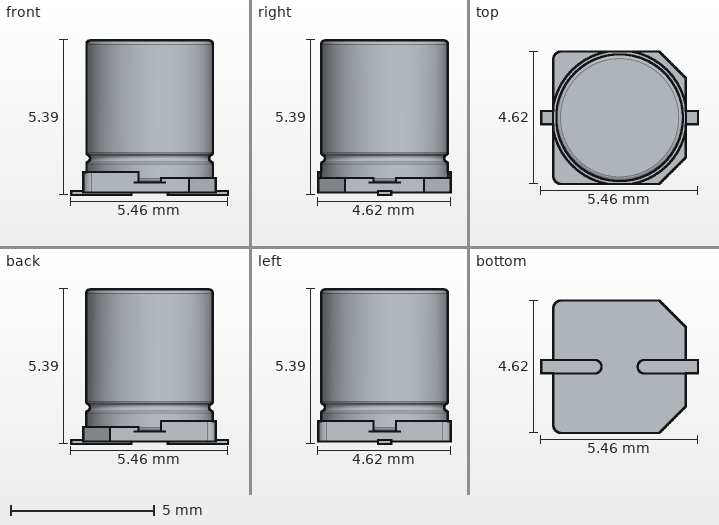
import cadquery as cq

overall_length = 5.46
overall_height = 5.39
base_width = 4.62

base_bottom = 0.09
base_high_top = 0.8
base_low_top = 0.6
corner_radius = 0.29
corner_chamfer = 0.935

seat_floor = 0.44
seat_radius = 2.34

can_radius = 4.41 / 2
can_edge_radius = 0.15

groove_center_z = 1.285
groove_radius = 0.13
groove_depth = 0.13
shoulder_radius = 0.09

lead_width = 0.47
lead_thickness = 0.155
lead_inner_end = 0.63


def make_base():
    low_height = base_low_top - base_bottom
    high_height = base_high_top - base_bottom
    base = cq.Workplane("XY").box(base_width, base_width, high_height, centered=(True, True, False))
    base = base.edges("|Z and <X").fillet(corner_radius)
    base = base.edges("|Z and >X").chamfer(corner_chamfer)
    step = (
        cq.Workplane("XY", origin=(base_width / 4, 0, low_height))
        .box(base_width / 2, base_width, high_height - low_height, centered=(True, True, False))
    )
    base = base.cut(step).translate((0, 0, base_bottom))
    seat = cq.Workplane("XY", origin=(0, 0, seat_floor)).circle(seat_radius).extrude(base_high_top - seat_floor)
    return base.cut(seat)


def make_can():
    can = cq.Workplane("XY", origin=(0, 0, seat_floor)).circle(can_radius).extrude(overall_height - seat_floor)
    can = can.edges().fillet(can_edge_radius)

    valley_x = can_radius - groove_depth + groove_radius
    shoulder_x = can_radius - shoulder_radius
    center_distance = groove_radius + shoulder_radius
    shoulder_rise = (center_distance**2 - (valley_x - shoulder_x) ** 2) ** 0.5
    share = groove_radius / center_distance
    touch_x = valley_x + share * (shoulder_x - valley_x)
    touch_rise = share * shoulder_rise

    chord_x = (touch_x + can_radius) / 2 - shoulder_x
    chord_z = (touch_rise - shoulder_rise) / 2
    stretch = shoulder_radius / (chord_x**2 + chord_z**2) ** 0.5
    mid_x = shoulder_x + stretch * chord_x
    mid_rise = shoulder_rise + stretch * chord_z

    groove = (
        cq.Workplane("XZ")
        .moveTo(can_radius, groove_center_z - shoulder_rise)
        .threePointArc((mid_x, groove_center_z - mid_rise), (touch_x, groove_center_z - touch_rise))
        .threePointArc((can_radius - groove_depth, groove_center_z), (touch_x, groove_center_z + touch_rise))
        .threePointArc((mid_x, groove_center_z + mid_rise), (can_radius, groove_center_z + shoulder_rise))
        .close()
        .revolve(360, (0, 0, 0), (0, 1, 0))
    )
    return can.cut(groove)


def make_lead(side):
    """Flat lead with a square outer end and a full-round inner end; side is -1 or 1."""
    half_width = lead_width / 2
    outer_x = side * overall_length / 2
    round_start_x = side * (lead_inner_end + half_width)
    return (
        cq.Workplane("XY")
        .moveTo(outer_x, -half_width)
        .lineTo(round_start_x, -half_width)
        .threePointArc((side * lead_inner_end, 0), (round_start_x, half_width))
        .lineTo(outer_x, half_width)
        .close()
        .extrude(lead_thickness)
    )


result = make_base().union(make_can())
for lead_side in (-1, 1):
    result = result.union(make_lead(lead_side))